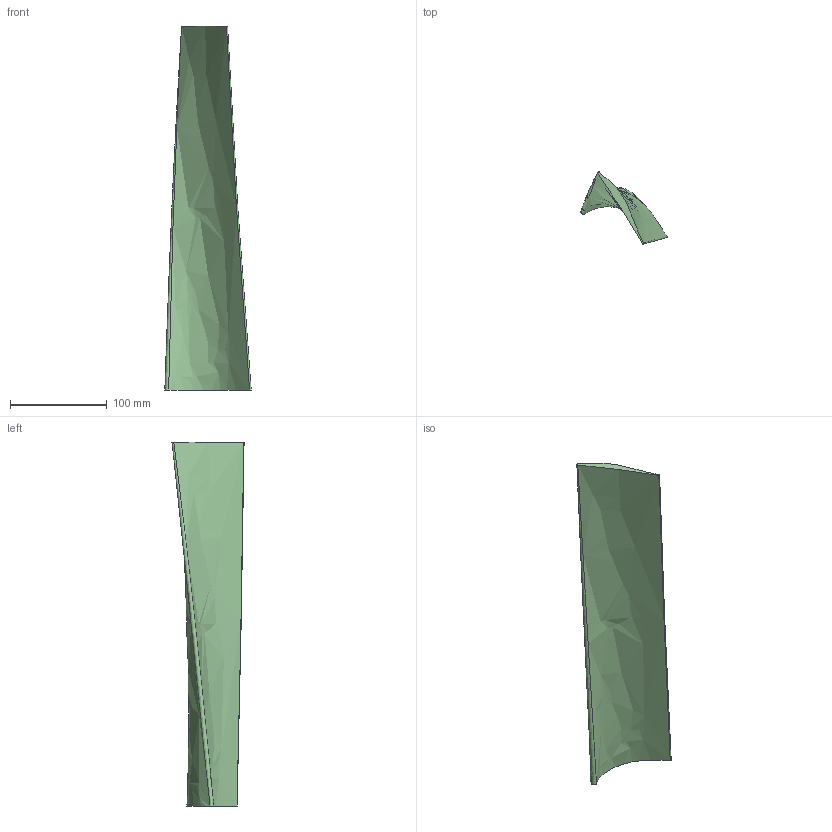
import cadquery as cq
import math

BLADE_HEIGHT = 375.75

ROOT = {
    "height": 0,
    "leading": {"centre": (-42.0, -3.3), "radius": 2.57, "pressure_angle": 303, "suction_angle": 150},
    "trailing": {"centre": (43.57, -29.0), "radius": 1.0, "pressure_angle": 225, "suction_angle": 33},
    "pressure_points": [(-17.0, 2.2), (13.0, -4.0)],
    "suction_points": [(-25.0, 15.5), (-3.0, 21.5), (22.0, 3.5)],
}
MIDDLE = {
    "height": BLADE_HEIGHT / 2,
    "leading": {"centre": (-35.2, 15.3), "radius": 2.1, "pressure_angle": 262, "suction_angle": 100},
    "trailing": {"centre": (30.0, -33.4), "radius": 0.8, "pressure_angle": 225, "suction_angle": 33},
    "pressure_points": [(-16.5, 8.0), (8.0, -9.0)],
    "suction_points": [(-23.0, 21.5), (-3.0, 17.5), (14.0, -2.5)],
}
TIP = {
    "height": BLADE_HEIGHT,
    "leading": {"centre": (-26.0, 35.93), "radius": 1.3, "pressure_angle": 211, "suction_angle": 48},
    "trailing": {"centre": (19.6, -36.63), "radius": 0.6, "pressure_angle": 212, "suction_angle": 28},
    "pressure_points": [(-17.8, 22.0), (6.4, -15.6)],
    "suction_points": [(-18.0, 30.5), (-5.0, 17.5), (8.7, -9.0)],
}


def direction(angle):
    """Unit vector at an angle in degrees from +X."""
    return (math.cos(math.radians(angle)), math.sin(math.radians(angle)))


def edge_point(edge, angle):
    """Point on a rounded edge whose outward normal has the given angle."""
    normal = direction(angle)
    return tuple(c + edge["radius"] * n for c, n in zip(edge["centre"], normal))


def airfoil(section):
    """Closed section: leading round, suction flank, trailing round, pressure flank."""
    leading = section["leading"]
    trailing = section["trailing"]
    leading_middle = (leading["pressure_angle"] + leading["suction_angle"]) / 2
    trailing_middle = (trailing["pressure_angle"] - 360 + trailing["suction_angle"]) / 2

    leading_pressure = edge_point(leading, leading["pressure_angle"])
    leading_suction = edge_point(leading, leading["suction_angle"])
    trailing_suction = edge_point(trailing, trailing["suction_angle"])
    trailing_pressure = edge_point(trailing, trailing["pressure_angle"])

    suction_tangents = [direction(edge["suction_angle"] - 90) for edge in (leading, trailing)]
    pressure_tangents = [direction(edge["pressure_angle"] - 90) for edge in (trailing, leading)]
    return (
        cq.Workplane("XY", origin=(0, 0, section["height"]))
        .moveTo(*leading_pressure)
        .threePointArc(edge_point(leading, leading_middle), leading_suction)
        .spline(
            section["suction_points"] + [trailing_suction],
            tangents=suction_tangents,
            includeCurrent=True,
        )
        .threePointArc(edge_point(trailing, trailing_middle), trailing_pressure)
        .spline(
            section["pressure_points"][::-1] + [leading_pressure],
            tangents=pressure_tangents,
            includeCurrent=True,
        )
        .close()
        .wire()
        .val()
    )


def blade():
    """Smooth loft through the root, middle and tip sections."""
    wires = [airfoil(section) for section in (ROOT, MIDDLE, TIP)]
    return cq.Workplane(cq.Solid.makeLoft(wires))


result = blade()